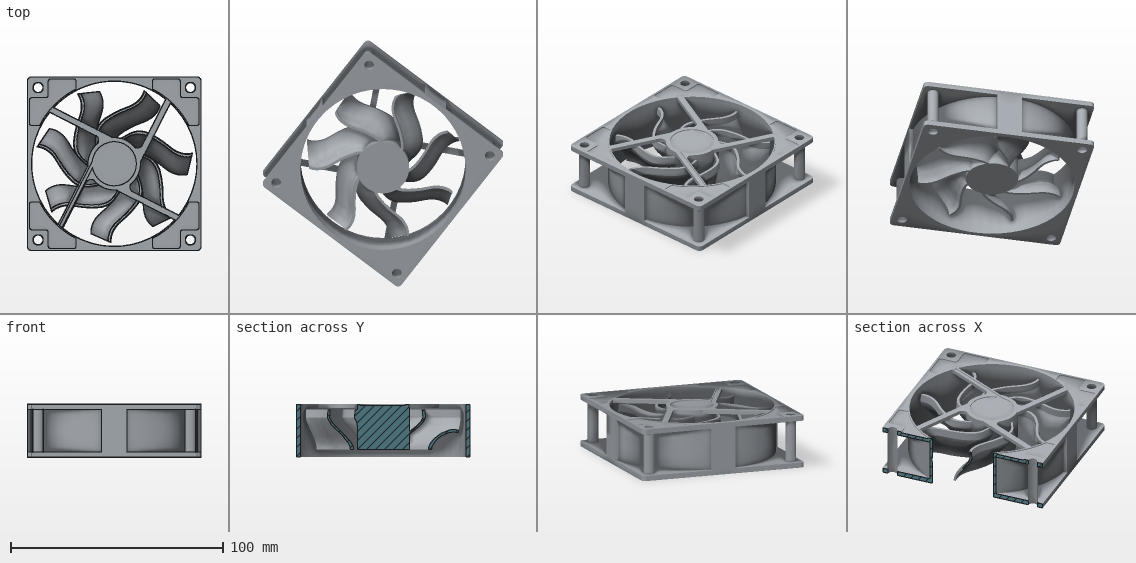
import cadquery as cq
import math

side = 82.0
depth = 25.0
corner_radius = 2.05
flange_thickness = 2.5
bore_radius = 38.95
ring_radius = 39.6
flat_width = 11.8
hole_diameter = 4.6
post_diameter = 5.2
hole_spacing = 71.8

recess_depth = 0.5
pocket_margin = 1.0
pocket_near_edge = 17.95
pocket_step = 31.2
pocket_fillet = 1.2

hub_radius = 12.4
hub_recess_radius = 10.4
spider_thickness = 1.8
spoke_count = 4
spoke_pitch = 360 / spoke_count
spoke_angle = 63.0
spoke_inner_offset = 7.8
spoke_outer_offset = 10.7
spoke_fillet = 2.5
groove_inner_wall = 0.5
groove_outer_wall = 0.9
groove_spoke = 2

blade_count = 7
blade_pitch = 50.0
first_blade_angle = 67.3
blade_top = 9.8
lip_bottom = 6.2
blade_bottom = -9.0
lip_lean = 0.3
blade_thickness = 1.2
blade_sweep = 9.2
blade_bend = 1.5
blade_levels = 6
blade_shift_angle = 249.0
blade_line = [
    (37.15, 0),
    (32.8, 0.4),
    (29.3, 2.2),
    (24.6, 6.7),
    (19.9, 10.7),
    (17.2, 12.4),
    (12.8, 13.6),
    (8.0, 12.6),
    (3.3, 10.7),
]

top = depth / 2
bottom = -depth / 2


def cylinder(radius, z_low, z_high):
    return cq.Workplane("XY").workplane(offset=z_low).circle(radius).extrude(z_high - z_low)


def slab(x_low, x_high, y_low, y_high, z_low, z_high):
    size = (x_high - x_low, y_high - y_low, z_high - z_low)
    return cq.Workplane("XY").box(*size, centered=False).translate((x_low, y_low, z_low))


def turned(body, angle):
    return body.rotate((0, 0, 0), (0, 0, 1), angle)


def corner_cylinders(diameter):
    base = cq.Workplane("XY").workplane(offset=bottom)
    corners = base.rect(hole_spacing, hole_spacing, forConstruction=True)
    return corners.vertices().circle(diameter / 2).extrude(depth)


def make_frame():
    """Two square flanges joined by the fan ring, its four flats and the screw posts."""
    wall = cylinder(ring_radius, bottom, top)
    flats = cq.Workplane("XY").box(side, flat_width, depth)
    wall = wall.union(flats).union(turned(flats, 90)).union(corner_cylinders(post_diameter))
    gap = cq.Workplane("XY").box(side, side, depth - 2 * flange_thickness)
    frame = cq.Workplane("XY").box(side, side, depth).edges("|Z").fillet(corner_radius)
    frame = frame.cut(gap.cut(wall)).cut(cylinder(bore_radius, bottom, top))
    frame = frame.cut(corner_cylinders(hole_diameter))
    pocket = corner_pocket()
    for angle in (0, 90, 180, 270):
        frame = frame.cut(turned(pocket, angle))
    return frame


def corner_pocket():
    """L-shaped recess around a screw hole, trimmed by a circle about the fan axis."""
    floor = top - recess_depth
    far = side / 2 - pocket_margin
    pocket = slab(pocket_near_edge, far, pocket_near_edge, far, floor, top)
    pocket = pocket.cut(slab(pocket_step, far, pocket_step, far, floor, top))
    pocket = pocket.edges("|Z").fillet(pocket_fillet)
    return pocket.cut(cylinder(ring_radius, floor, top))


def make_spider():
    """Hub plate and spokes, flush with the top face and let into the fan ring."""
    z_low = top - spider_thickness
    spider = cylinder(hub_radius, z_low, top)
    reach = cylinder((bore_radius + ring_radius) / 2, z_low, top)
    spoke = slab(0, side / 2, -spoke_outer_offset, -spoke_inner_offset, z_low, top).intersect(reach)
    for i in range(spoke_count):
        spider = spider.union(turned(spoke, spoke_angle + i * spoke_pitch))
    first_corner = spoke_angle - math.degrees(math.asin(spoke_inner_offset / hub_radius))
    mid_height = (z_low + top) / 2
    for i in range(spoke_count):
        angle = math.radians(first_corner + i * spoke_pitch)
        corner = (hub_radius * math.cos(angle), hub_radius * math.sin(angle), mid_height)
        spider = spider.edges(cq.selectors.NearestToPointSelector(corner)).fillet(spoke_fillet)
    floor = top - recess_depth
    groove_outer = groove_outer_wall - spoke_outer_offset
    groove_inner = -spoke_inner_offset - groove_inner_wall
    groove = slab(0, bore_radius, groove_outer, groove_inner, floor, top)
    groove = groove.intersect(cylinder(bore_radius, floor, top))
    spider = spider.cut(cylinder(hub_recess_radius, floor, top))
    return spider.cut(turned(groove, spoke_angle + groove_spoke * spoke_pitch))


def shifted_line(shift):
    """The blade line moved sideways by the given distance."""
    angle = math.radians(blade_shift_angle)
    step_x = shift * math.cos(angle)
    step_y = shift * math.sin(angle)
    return [(x + step_x, y + step_y) for x, y in blade_line]


def blade_band(z, shift):
    """Closed S-shaped wire at height z: the blade line, shifted sideways, and its parallel copy."""
    outer_line = shifted_line(shift)
    inner_line = shifted_line(shift + blade_thickness)[::-1]
    outline = cq.Workplane("XY").workplane(offset=z).moveTo(*outer_line[0])
    outline = outline.spline(outer_line[1:], includeCurrent=True).lineTo(*inner_line[0])
    return outline.spline(inner_line[1:], includeCurrent=True).close().val()


def make_blade():
    """Nearly upright lip on a skirt that bends outward and ends upright at the bottom."""
    skirt_bands = []
    for i in range(blade_levels):
        fraction = i / (blade_levels - 1)
        z = lip_bottom + (blade_bottom - lip_bottom) * fraction
        shift = blade_sweep * math.sin(fraction * math.pi / 2) ** blade_bend - lip_lean
        skirt_bands.append(blade_band(z, shift))
    skirt = cq.Solid.makeLoft(skirt_bands)
    lip = cq.Solid.makeLoft([skirt_bands[0], blade_band(blade_top, 0)], True)
    return cq.Workplane("XY").add(skirt).union(cq.Workplane("XY").add(lip))


def make_rotor():
    """Solid hub below the spider, with evenly pitched blades and one wider space."""
    rotor = cylinder(hub_radius, blade_bottom, top - spider_thickness)
    blade = make_blade()
    for i in range(blade_count):
        rotor = rotor.union(turned(blade, first_blade_angle + i * blade_pitch))
    return rotor


result = make_frame().union(make_spider()).union(make_rotor())